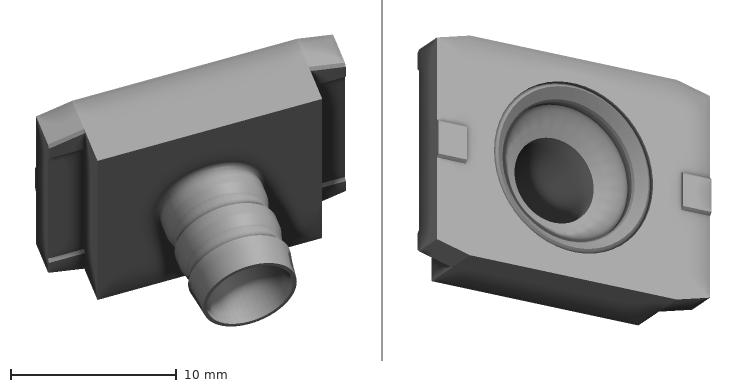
import cadquery as cq

plate_length = 18.9
block_side = 14.3
block_depth = 4.72
ear_depth = 2.21
ear_corner_drop = 0.59

raise_height = 0.19
pad_inner_z = 5.18
tab_length = 1.98
tab_base_half_height = 1.25

barb_radius = 3.27
waist_radius = 3.06
tip_radius = 2.99
root_fillet = 0.28
first_land_end = 6.07
first_ramp_end = 6.77
second_land_start = 7.73
second_land_end = 8.52
second_ramp_end = 9.3
third_barb_start = 10.26
barb_end = 12.2

bore_radius = 2.74
funnel_radius = 4.48
funnel_start = 1.32
funnel_end = 2.38
ring_outer_radius = 5.5
ring_front_radius = 5.2
ring_depth = 0.8
ring_throat_radius = 4.57
ring_throat_depth = 0.6

half_length = plate_length / 2
half_block = block_side / 2


def revolve_about_x(outline):
    """Revolve a workplane of (x, radius) outlines about the X axis."""
    return outline.close().revolve(360, (0, 0, 0), (1, 0, 0))


def ear_section(y, half_height):
    """Wire in an XZ plane: flat front, raised pads at both ends of the rear."""
    pad_top = ear_depth + raise_height
    upper = [
        (ear_depth, pad_inner_z),
        (pad_top, pad_inner_z + raise_height),
        (pad_top, half_height - raise_height),
        (ear_depth, half_height),
        (0, half_height),
    ]
    lower = [(x, -z) for x, z in reversed(upper)]
    return cq.Wire.makePolygon([cq.Vector(x, y, z) for x, z in upper + lower], close=True)


def make_ear(side):
    """Ear tapering from the block to its tip; side is +1 or -1 along Y."""
    sections = [
        ear_section(side * half_block, half_block),
        ear_section(side * half_length, half_block - ear_corner_drop),
    ]
    return cq.Workplane(cq.Solid.makeLoft(sections, True))


def make_tab(side):
    """Low trapezoidal tab on the front face at the tip of an ear."""
    top_half_height = tab_base_half_height - raise_height
    return (
        cq.Workplane("XZ", origin=(0, side * half_length, 0))
        .moveTo(0, tab_base_half_height)
        .lineTo(-raise_height, top_half_height)
        .lineTo(-raise_height, -top_half_height)
        .lineTo(0, -tab_base_half_height)
        .close()
        .extrude(side * tab_length)
    )


def make_barb():
    """Barbed hose spigot with a filleted root on the back of the block."""
    return revolve_about_x(
        cq.Workplane("XY")
        .moveTo(block_depth, 0)
        .lineTo(block_depth, barb_radius + root_fillet)
        .radiusArc((block_depth + root_fillet, barb_radius), -root_fillet)
        .lineTo(first_land_end, barb_radius)
        .lineTo(first_ramp_end, waist_radius)
        .lineTo(second_land_start, waist_radius)
        .lineTo(second_land_start, barb_radius)
        .lineTo(second_land_end, barb_radius)
        .lineTo(second_ramp_end, waist_radius)
        .lineTo(third_barb_start, waist_radius)
        .lineTo(third_barb_start, barb_radius)
        .lineTo(barb_end, tip_radius)
        .lineTo(barb_end, 0)
    )


def make_bore():
    """Ring recess, short seat bore, funnel and through bore."""
    return revolve_about_x(
        cq.Workplane("XY")
        .moveTo(0, 0)
        .lineTo(0, ring_outer_radius)
        .lineTo(ring_depth, ring_outer_radius)
        .lineTo(ring_depth, funnel_radius)
        .lineTo(funnel_start, funnel_radius)
        .lineTo(funnel_end, bore_radius)
        .lineTo(barb_end, bore_radius)
        .lineTo(barb_end, 0)
    )


def make_housing():
    """Plate with ears, tabs and hose barb, bored through along X."""
    housing = cq.Workplane("XY").box(block_depth, block_side, block_side, centered=(False, True, True))
    for side in (1, -1):
        housing = housing.union(make_ear(side)).union(make_tab(side))
    return housing.union(make_barb()).cut(make_bore())


def make_seal_ring():
    """Ring flush with the front face, its lip sloping away on both sides."""
    outer_chamfer = ring_outer_radius - ring_front_radius
    return revolve_about_x(
        cq.Workplane("XY")
        .moveTo(0, ring_front_radius)
        .lineTo(outer_chamfer, ring_outer_radius)
        .lineTo(ring_depth, ring_outer_radius)
        .lineTo(ring_depth, funnel_radius)
        .lineTo(ring_throat_depth, ring_throat_radius)
    )


housing = make_housing()
seal_ring = make_seal_ring()
result = cq.Compound.makeCompound([housing.val(), seal_ring.val()])